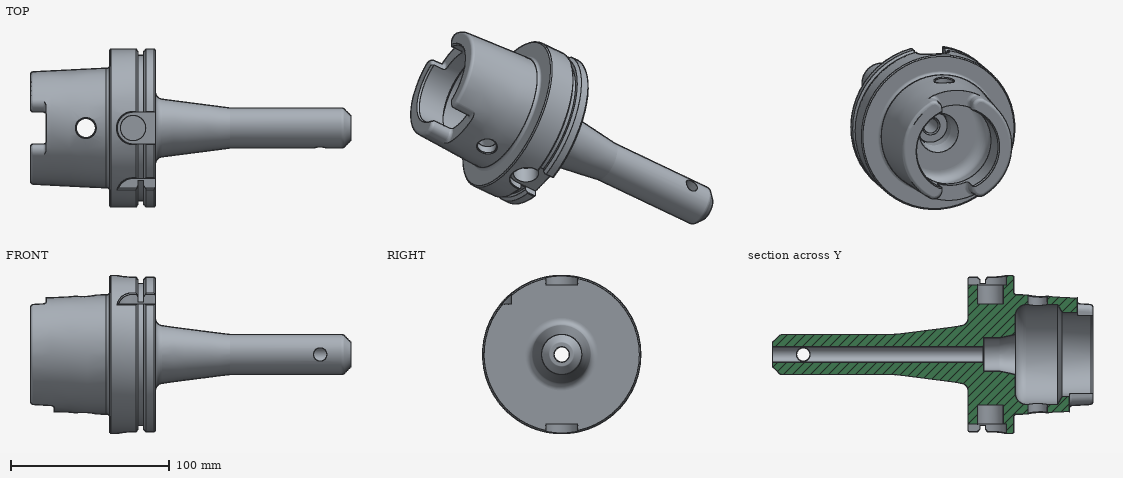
import cadquery as cq
import math


pick_tolerance = 0.01

shank_length = 50.0
gauge_offset = 10.0
gauge_radius = 75.0 / 2
taper_slope = 1 / 20
shank_end_round = 2.0
undercut_radius = 75.52 / 2
undercut_width = 2.4
undercut_fillet = 1.75

flange_radius = 100.0 / 2
flange_width = 29.0
flange_face_chamfer = 0.8
flange_back_chamfer = 1.0
groove_floor_radius = 46.0
groove_floor_start = 18.0
groove_floor_end = 21.3
groove_flank_depth = 2.0
groove_front_flank = 1.3
groove_back_flank = 1.8

keyway_width = 20.0
keyway_floor = 44.0
keyway_center_x = 14.8
keyway_edge_chamfer = 0.5
notch_edge_chamfer = 0.6
chip_hole_diameter = 16.0
chip_hole_depth = 12.0
notch_offset = 31.8
notch_end_radius = 10.0

arbor_radius = 25.4 / 2
arbor_length = 152.4
neck_fillet = 4.7
neck_base_radius = 18.8
neck_end_x = arbor_length / 2
tip_chamfer = 5.0
tip_outer_round = 2.0
tip_inner_round = 1.0
cross_hole_diameter = 8.38
cross_hole_from_tip = 19.5

mouth_radius = 53.0 / 2
mouth_chamfer = 0.7
mouth_chamfer_length = 1.4
mouth_depth = 19.5
chamber_radius = 63.0 / 2
chamber_angle = 60.0
chamber_floor_fillet = 6.9
cavity_floor_x = -1.0
socket_mouth_radius = 25.4 / 2
socket_radius = 21.0 / 2
socket_cone_length = 10.0
socket_depth = 20.0
bore_radius = 9.53 / 2
bore_mouth_radius = 11.5 / 2
bore_mouth_half_angle = 59.0
access_hole_diameter = 12.0
access_hole_chamfer = 0.6
access_hole_x = -15.0

drive_slot_width = 20.0
upper_slot_depth = 10.0
lower_slot_depth = 15.0
drive_slot_rim_round = 5.0
drive_slot_floor_fillet = 1.75


def shank_radius(x):
    """Outer radius of the taper shank at position x."""
    return gauge_radius + (x + gauge_offset) * taper_slope


def revolve_about_x(profile):
    """Close an (x, radius) profile and revolve it about the X axis."""
    return profile.close().revolve(360, (0, 0, 0), (1, 0, 0))


def edges_on_circle(body, x, radius):
    """Full circular edges about the X axis at the given position and radius."""

    def matches(edge):
        box = edge.BoundingBox()
        at_x = abs(box.xmin - x) < pick_tolerance and abs(box.xmax - x) < pick_tolerance
        return at_x and abs(box.ymax - radius) < pick_tolerance

    return body.newObject([edge for edge in body.edges().vals() if matches(edge)])


def turned_blank():
    """Shank, undercut, plain flange disc, tapered neck and arbor."""
    tip_radius = shank_radius(-shank_length)
    blank = revolve_about_x(
        cq.Workplane("XY")
        .moveTo(-shank_length, 0)
        .lineTo(-shank_length, tip_radius)
        .lineTo(-undercut_width, shank_radius(-undercut_width))
        .lineTo(-undercut_width, undercut_radius)
        .lineTo(0, undercut_radius)
        .lineTo(0, flange_radius)
        .lineTo(flange_width, flange_radius)
        .lineTo(flange_width, neck_base_radius)
        .lineTo(neck_end_x, arbor_radius)
        .lineTo(arbor_length - tip_chamfer, arbor_radius)
        .lineTo(arbor_length, arbor_radius - tip_chamfer)
        .lineTo(arbor_length, 0)
    )
    fillets = [
        (0, undercut_radius, undercut_fillet),
        (flange_width, neck_base_radius, neck_fillet),
        (arbor_length - tip_chamfer, arbor_radius, tip_outer_round),
        (arbor_length, arbor_radius - tip_chamfer, tip_inner_round),
    ]
    for x, radius, size in fillets:
        blank = edges_on_circle(blank, x, radius).fillet(size)
    return blank


def round_ended_slot(half_width, center_y, floor_z):
    """Cutter for a slot with floor at floor_z, round at -X and open towards +X."""
    run = flange_width - keyway_center_x + half_width
    height = flange_radius - floor_z
    round_end = (
        cq.Workplane("XY", origin=(keyway_center_x, center_y, floor_z))
        .circle(half_width)
        .extrude(height)
    )
    straight = (
        cq.Workplane("XY", origin=(keyway_center_x, center_y, floor_z))
        .rect(run, 2 * half_width)
        .extrude(height)
        .translate((run / 2, 0, 0))
    )
    return round_end.union(straight)


def chamfer_slot_rim(body, center_y, half_width, size):
    """Chamfer the edges where a slot centred on center_y breaks out of the plain flange rim."""

    def on_slot_rim(edge):
        middle = edge.positionAt(0.5)
        on_rim = abs(math.hypot(middle.y, middle.z) - flange_radius) < pick_tolerance
        in_slot = abs(middle.y - center_y) < half_width + pick_tolerance
        return on_rim and in_slot and 0 < middle.x < flange_width

    rim_edges = [edge for edge in body.edges().vals() if on_slot_rim(edge)]
    return body.newObject(rim_edges).chamfer(size)


def cut_flange_slots(body):
    """Cut both keyways and the orientation notch and chamfer their outer edges."""
    keyway = round_ended_slot(keyway_width / 2, 0, keyway_floor)
    body = body.cut(keyway)
    body = body.cut(keyway.rotate((0, 0, 0), (1, 0, 0), 180))
    body = chamfer_slot_rim(body, 0, keyway_width / 2, keyway_edge_chamfer)
    notch_center_y = -notch_offset - notch_end_radius
    body = body.cut(round_ended_slot(notch_end_radius, notch_center_y, notch_offset))
    return chamfer_slot_rim(body, notch_center_y, notch_end_radius, notch_edge_chamfer)


def cut_flange_rim(body):
    """Cut the gripper groove and the two chamfers of the flange rim."""
    flank_radius = flange_radius - groove_flank_depth
    groove = revolve_about_x(
        cq.Workplane("XY")
        .moveTo(groove_floor_start - groove_front_flank, flange_radius)
        .lineTo(groove_floor_start, flank_radius)
        .lineTo(groove_floor_start, groove_floor_radius)
        .lineTo(groove_floor_end, groove_floor_radius)
        .lineTo(groove_floor_end, flank_radius)
        .lineTo(groove_floor_end + groove_back_flank, flange_radius)
    )
    body = body.cut(groove)
    for face_x, inward, size in [
        (0, 1, flange_face_chamfer),
        (flange_width, -1, flange_back_chamfer),
    ]:
        corner = revolve_about_x(
            cq.Workplane("XY")
            .moveTo(face_x, flange_radius - size)
            .lineTo(face_x, flange_radius)
            .lineTo(face_x + inward * size, flange_radius)
        )
        body = body.cut(corner)
    return body


def clamping_cavity():
    """Cavity with narrow mouth, undercut chamber, coolant socket and through bore."""
    mouth_end = mouth_depth - shank_length
    cone_length = (chamber_radius - mouth_radius) / math.tan(math.radians(chamber_angle))
    cavity = revolve_about_x(
        cq.Workplane("XY")
        .moveTo(-shank_length, 0)
        .lineTo(-shank_length, mouth_radius + mouth_chamfer)
        .lineTo(-shank_length + mouth_chamfer_length, mouth_radius)
        .lineTo(mouth_end, mouth_radius)
        .lineTo(mouth_end + cone_length, chamber_radius)
        .lineTo(cavity_floor_x, chamber_radius)
        .lineTo(cavity_floor_x, 0)
    )
    cavity = edges_on_circle(cavity, cavity_floor_x, chamber_radius).fillet(chamber_floor_fillet)
    socket_floor_x = cavity_floor_x + socket_depth
    bore_mouth_rise = bore_mouth_radius - bore_radius
    bore_cone_length = bore_mouth_rise / math.tan(math.radians(bore_mouth_half_angle))
    socket = revolve_about_x(
        cq.Workplane("XY")
        .moveTo(cavity_floor_x, 0)
        .lineTo(cavity_floor_x, socket_mouth_radius)
        .lineTo(cavity_floor_x + socket_cone_length, socket_radius)
        .lineTo(socket_floor_x, socket_radius)
        .lineTo(socket_floor_x, bore_mouth_radius)
        .lineTo(socket_floor_x + bore_cone_length, bore_radius)
        .lineTo(arbor_length, bore_radius)
        .lineTo(arbor_length, 0)
    )
    return cavity.union(socket)


def round_slot_edges(body, is_wanted, radius):
    """Fillet those edges of the drive slot side walls that pass the given test."""
    wall_y = drive_slot_width / 2

    def on_wall(edge):
        middle = edge.positionAt(0.5)
        in_shank = middle.x < -undercut_width
        return in_shank and abs(abs(middle.y) - wall_y) < pick_tolerance and is_wanted(edge)

    return body.newObject([edge for edge in body.edges().vals() if on_wall(edge)]).fillet(radius)


def cut_drive_slots(body):
    """Cut both drive slots and round the edges of the lugs left between them."""
    floors = []
    for side, depth in [(1, upper_slot_depth), (-1, lower_slot_depth)]:
        slot = (
            cq.Workplane("YZ", origin=(-shank_length, 0, side * flange_radius / 2))
            .rect(drive_slot_width, flange_radius)
            .extrude(depth)
        )
        body = body.cut(slot)
        floors.append(depth - shank_length)

    def breaks_out_of_shank(edge):
        middle = edge.positionAt(0.5)
        lengthwise = edge.BoundingBox().xlen > pick_tolerance
        return lengthwise and math.hypot(middle.y, middle.z) > mouth_radius

    def meets_floor(edge):
        box = edge.BoundingBox()
        return any(
            abs(box.xmin - floor) < pick_tolerance and abs(box.xmax - floor) < pick_tolerance
            for floor in floors
        )

    body = round_slot_edges(body, breaks_out_of_shank, drive_slot_rim_round)
    body = round_slot_edges(body, meets_floor, drive_slot_floor_fillet)
    return body.faces("<X").edges().fillet(shank_end_round)


def cut_access_holes(body):
    """Radial clamping access holes through both shank walls, chamfered outside."""
    span = 2 * flange_radius
    hole = (
        cq.Workplane("XY", origin=(access_hole_x, 0, -span / 2))
        .circle(access_hole_diameter / 2)
        .extrude(span)
    )
    body = body.cut(hole)

    def is_outer_rim(edge):
        box = edge.BoundingBox()
        spans_hole = abs(box.ylen - access_hole_diameter) < pick_tolerance
        at_hole = abs(box.center.x - access_hole_x) < pick_tolerance
        return spans_hole and at_hole and abs(box.center.z) > chamber_radius

    rims = [edge for edge in body.edges().vals() if is_outer_rim(edge)]
    return body.newObject(rims).chamfer(access_hole_chamfer)


def chip_hole(side):
    """Blind hole sunk from the floor of a keyway."""
    return (
        cq.Workplane("XY", origin=(keyway_center_x, 0, side * keyway_floor))
        .circle(chip_hole_diameter / 2)
        .extrude(-side * chip_hole_depth)
    )


def cross_hole():
    """Radial hole from the -Y side of the arbor into the axial bore."""
    return (
        cq.Workplane("XZ", origin=(arbor_length - cross_hole_from_tip, 0, 0))
        .circle(cross_hole_diameter / 2)
        .extrude(2 * arbor_radius)
    )


result = turned_blank()
result = cut_flange_slots(result)
result = cut_flange_rim(result)
for side in (1, -1):
    result = result.cut(chip_hole(side))
result = cut_drive_slots(result)
result = result.cut(clamping_cavity())
result = cut_access_holes(result)
result = result.cut(cross_hole())